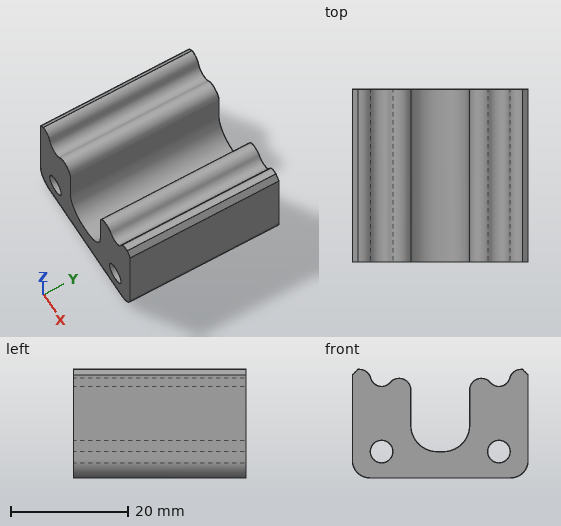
import cadquery as cq
import math

width = 30.0
length = 29.5
height = 18.55
bottom_radius = 3.0
top_chamfer = 1.0

slot_width = width / 3
slot_floor = 4.5
slot_radius = 4.5

hole_diameter = 3.8
hole_height = 4.5
groove_offset = width / 3

groove_radius = hole_diameter / 2
crest_radius = 2.0
inner_crest_height = 15.0

half_width = width / 2
half_slot = slot_width / 2
half_floor = half_slot - slot_radius
center_distance = groove_radius + crest_radius

inner_crest = (half_slot + crest_radius, inner_crest_height)
groove = (
    groove_offset,
    inner_crest_height + math.sqrt(center_distance**2 - (groove_offset - inner_crest[0]) ** 2),
)
outer_crest_height = height - crest_radius
outer_crest = (
    groove_offset + math.sqrt(center_distance**2 - (groove[1] - outer_crest_height) ** 2),
    outer_crest_height,
)


def tangent_point(crest):
    """Point where a crest arc meets the groove arc."""
    share = crest_radius / center_distance
    return tuple(c + (g - c) * share for c, g in zip(crest, groove))


def arc_point(center, radius, degrees):
    """Point on a circle at an angle measured from +X."""
    angle = math.radians(degrees)
    return center[0] + radius * math.cos(angle), center[1] + radius * math.sin(angle)


def half_block():
    """The +X half of the extrusion, centered along Y."""
    return (
        cq.Workplane("XZ")
        .moveTo(0, 0)
        .lineTo(half_width - bottom_radius, 0)
        .threePointArc(
            arc_point((half_width - bottom_radius, bottom_radius), bottom_radius, -45),
            (half_width, bottom_radius),
        )
        .lineTo(half_width, height - top_chamfer)
        .lineTo(half_width - top_chamfer, height)
        .lineTo(outer_crest[0], height)
        .threePointArc(arc_point(outer_crest, crest_radius, 120), tangent_point(outer_crest))
        .threePointArc(arc_point(groove, groove_radius, -90), tangent_point(inner_crest))
        .threePointArc(
            arc_point(inner_crest, crest_radius, 120),
            (half_slot, inner_crest_height),
        )
        .lineTo(half_slot, slot_floor + slot_radius)
        .threePointArc(
            arc_point((half_floor, slot_floor + slot_radius), slot_radius, -45),
            (half_floor, slot_floor),
        )
        .lineTo(0, slot_floor)
        .close()
        .extrude(length / 2, both=True)
    )


def through_holes():
    """Pair of lengthwise holes below the grooves."""
    return (
        cq.Workplane("XZ")
        .pushPoints([(side * groove_offset, hole_height) for side in (-1, 1)])
        .circle(hole_diameter / 2)
        .extrude(length / 2, both=True)
    )


right_half = half_block()
block = right_half.union(right_half.mirror("YZ")).clean()
result = block.cut(through_holes())